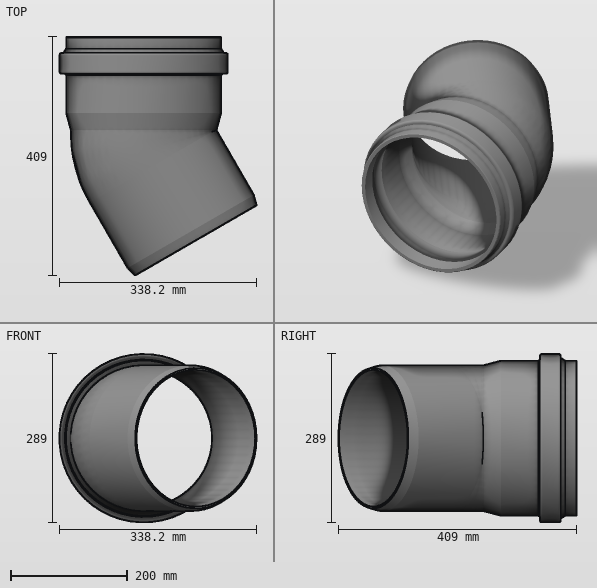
import cadquery as cq
import math


socket_diameter = 266.0
socket_bore = 251.8
ring_diameter = 289.0
spigot_diameter = 250.0
spigot_bore = 234.0
spigot_tip_diameter = 240.7

socket_radius = socket_diameter / 2
socket_bore_radius = socket_bore / 2
ring_radius = ring_diameter / 2
spigot_radius = spigot_diameter / 2
spigot_bore_radius = spigot_bore / 2
wall = socket_radius - socket_bore_radius
groove_radius = ring_radius - wall

shoulder_start = 20.0
ring_start = 27.5
ring_end = 63.5
ring_foot_end = 66.0
taper_start = 130.0
taper_end = 160.0
bend_start = 162.3

mouth_chamfer = 1.2
shoulder_height = 4.5
foot_height = 2.0
ring_rounding = 4.0

bend_angle = 30
bend_radius = 117.5
spigot_length = 147.5
tip_taper_length = 17.5


def revolve_about_y(profile):
    return profile.close().revolve(360, (0, 0, 0), (0, 1, 0))


def socket_body():
    corner = ring_rounding * (1 - math.sqrt(0.5))
    rounded_radius = ring_radius - ring_rounding
    profile = (
        cq.Workplane("XY")
        .lineTo(socket_radius - mouth_chamfer, 0)
        .lineTo(socket_radius, -mouth_chamfer)
        .lineTo(socket_radius, -shoulder_start)
        .lineTo(socket_radius + shoulder_height, -ring_start)
        .lineTo(rounded_radius, -ring_start)
        .threePointArc(
            (ring_radius - corner, -ring_start - corner),
            (ring_radius, -ring_start - ring_rounding),
        )
        .lineTo(ring_radius, -ring_end + ring_rounding)
        .threePointArc(
            (ring_radius - corner, -ring_end + corner),
            (rounded_radius, -ring_end),
        )
        .lineTo(socket_radius + foot_height, -ring_end)
        .lineTo(socket_radius, -ring_foot_end)
        .lineTo(socket_radius, -taper_start)
        .lineTo(spigot_radius, -taper_end)
        .lineTo(spigot_radius, -bend_start)
        .lineTo(0, -bend_start)
    )
    return revolve_about_y(profile)


def socket_cavity():
    profile = (
        cq.Workplane("XY")
        .lineTo(socket_bore_radius, 0)
        .lineTo(socket_bore_radius, -ring_start)
        .lineTo(groove_radius, -ring_start - wall)
        .lineTo(groove_radius, -ring_end + wall)
        .lineTo(socket_bore_radius, -ring_end)
        .lineTo(socket_bore_radius, -taper_start)
        .lineTo(spigot_bore_radius, -taper_end)
        .lineTo(spigot_bore_radius, -bend_start)
        .lineTo(0, -bend_start)
    )
    return revolve_about_y(profile)


def place_after_bend(shape):
    """Turn a shape starting at the bend's first section onto its last section."""
    pivot = (bend_radius, -bend_start, 0)
    pivot_axis_end = (bend_radius, -bend_start, 1)
    return shape.translate((0, -bend_start, 0)).rotate(pivot, pivot_axis_end, bend_angle)


def spigot_body():
    profile = (
        cq.Workplane("XY")
        .lineTo(spigot_radius, 0)
        .lineTo(spigot_radius, -spigot_length + tip_taper_length)
        .lineTo(spigot_tip_diameter / 2, -spigot_length)
        .lineTo(0, -spigot_length)
    )
    return place_after_bend(revolve_about_y(profile))


def spigot_cavity():
    bore = cq.Workplane("XZ").circle(spigot_bore_radius).extrude(spigot_length)
    return place_after_bend(bore)


def sweep_bend(section):
    """Revolve a section, drawn in XZ about the socket axis, about the bend pivot."""
    bend = section.revolve(bend_angle, (bend_radius, 0, 0), (bend_radius, 1, 0))
    return bend.translate((0, -bend_start, 0))


def bend_body():
    half_chord = math.sqrt(spigot_radius**2 - bend_radius**2)
    section = (
        cq.Workplane("XZ")
        .moveTo(bend_radius, half_chord)
        .threePointArc((-spigot_radius, 0), (bend_radius, -half_chord))
        .close()
    )
    return sweep_bend(section)


def bend_cavity():
    return sweep_bend(cq.Workplane("XZ").circle(spigot_bore_radius))


body = socket_body().union(bend_body()).union(spigot_body())
result = body.cut(socket_cavity()).cut(bend_cavity()).cut(spigot_cavity())